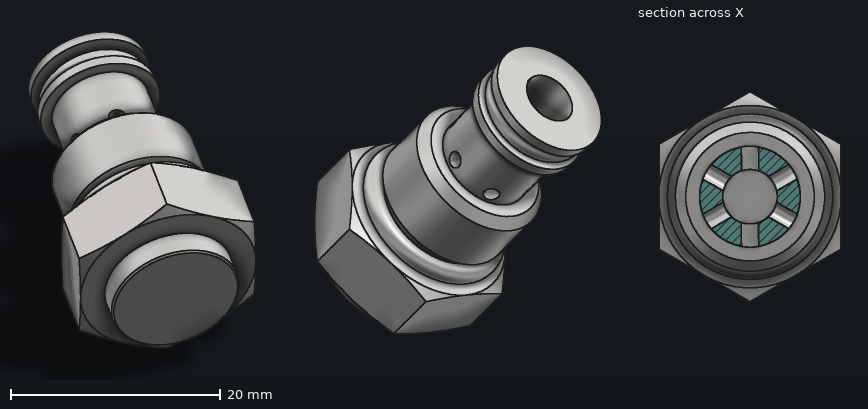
import cadquery as cq
import math

TOTAL_LENGTH = 30.43

SLEEVE_LENGTH = 11.32
SLEEVE_DIAMETER = 9.65
FLANGE_DIAMETER = 11.9
FLANGE_WIDTH = 1.03
NOSE_GROOVE_WIDTH = 2.28
NOSE_GROOVE_DIAMETER = 9.1
BORE_DIAMETER = 5.2
CROSS_HOLE_DIAMETER = 1.58
CROSS_HOLE_COUNT = 6
CROSS_HOLE_X = 10.15

BARREL_DIAMETER = 14.27
BARREL_END_X = 18.8
NECK_DIAMETER = 12.3
REAR_CHAMFER_LENGTH = 0.55
HEX_START_X = 21.18
HEX_LENGTH = 6.63
HEX_ACROSS_FLATS = 17.45
HEX_CHAMFER_ANGLE = 20.0

CAP_DIAMETER = 12.7
CAP_CHAMFER = 0.18
CAP_HUB_DIAMETER = 12.3
CAP_HUB_LENGTH = 0.1

NOSE_RING_DIAMETER = 11.17
NOSE_RING_SECTION = 1.8
HEX_RING_DIAMETER = 15.82
HEX_RING_SECTION = 1.98

NOSE_GROOVE_END_X = FLANGE_WIDTH + NOSE_GROOVE_WIDTH
HEX_END_X = HEX_START_X + HEX_LENGTH
HEX_ACROSS_CORNERS = HEX_ACROSS_FLATS / math.cos(math.radians(30))


def cylinder(start_x, end_x, diameter):
    """Solid cylinder along X."""
    return cq.Workplane("YZ", origin=(start_x, 0, 0)).circle(diameter / 2).extrude(end_x - start_x)


def revolve_profile(points):
    """Revolve an outline of (x, radius) points about the X axis."""
    return cq.Workplane("XY").polyline(points).close().revolve(360, (0, 0, 0), (1, 0, 0))


def make_o_ring(right_x, outer_diameter, section):
    """Round-section ring whose right side touches the plane X = right_x."""
    section_radius = section / 2
    centre_radius = outer_diameter / 2 - section_radius
    return (
        cq.Workplane("XY")
        .center(right_x - section_radius, centre_radius)
        .circle(section_radius)
        .revolve(360, (0, -centre_radius, 0), (1, -centre_radius, 0))
    )


def make_sleeve(nose_ring):
    """Flanged tube with radial holes, and a seat for the ring in the groove between the flanges."""
    sleeve = cylinder(0, SLEEVE_LENGTH, SLEEVE_DIAMETER)
    for flange_x in (0, NOSE_GROOVE_END_X):
        sleeve = sleeve.union(cylinder(flange_x, flange_x + FLANGE_WIDTH, FLANGE_DIAMETER))

    groove_stock = cylinder(FLANGE_WIDTH, NOSE_GROOVE_END_X, FLANGE_DIAMETER)
    groove_floor = cylinder(FLANGE_WIDTH, NOSE_GROOVE_END_X, NOSE_GROOVE_DIAMETER)
    sleeve = sleeve.cut(groove_stock.cut(groove_floor))

    sleeve = sleeve.cut(cylinder(0, SLEEVE_LENGTH, BORE_DIAMETER))
    cross_hole = (
        cq.Workplane("XY", origin=(CROSS_HOLE_X, 0, 0))
        .circle(CROSS_HOLE_DIAMETER / 2)
        .extrude(SLEEVE_DIAMETER)
    )
    for index in range(CROSS_HOLE_COUNT):
        angle = index * 360 / CROSS_HOLE_COUNT
        sleeve = sleeve.cut(cross_hole.rotate((0, 0, 0), (1, 0, 0), angle))
    return sleeve.cut(nose_ring)


def make_hex():
    """Hexagon with corners up and down, its corners coned off at both ends."""
    hexagon = (
        cq.Workplane("YZ", origin=(HEX_START_X, 0, 0))
        .polygon(6, HEX_ACROSS_CORNERS)
        .extrude(HEX_LENGTH)
        .rotate((0, 0, 0), (1, 0, 0), 90)
    )
    face_radius = HEX_ACROSS_FLATS / 2
    corner_radius = HEX_ACROSS_CORNERS / 2
    cone_length = (corner_radius - face_radius) * math.tan(math.radians(HEX_CHAMFER_ANGLE))
    envelope = revolve_profile([
        (HEX_START_X, 0),
        (HEX_START_X, face_radius),
        (HEX_START_X + cone_length, corner_radius),
        (HEX_END_X - cone_length, corner_radius),
        (HEX_END_X, face_radius),
        (HEX_END_X, 0),
    ])
    return hexagon.intersect(envelope)


def make_housing(hex_ring):
    """Chamfered barrel, neck and hexagon, with a seat for the ring on the neck."""
    neck_radius = NECK_DIAMETER / 2
    barrel_radius = BARREL_DIAMETER / 2
    front_chamfer = barrel_radius - neck_radius
    barrel_and_neck = revolve_profile([
        (SLEEVE_LENGTH, 0),
        (SLEEVE_LENGTH, neck_radius),
        (SLEEVE_LENGTH + front_chamfer, barrel_radius),
        (BARREL_END_X - REAR_CHAMFER_LENGTH, barrel_radius),
        (BARREL_END_X, neck_radius),
        (HEX_START_X, neck_radius),
        (HEX_START_X, 0),
    ])
    return barrel_and_neck.union(make_hex()).cut(hex_ring)


def make_cap():
    """Disc with a chamfered outer end, held just off the hexagon by a thin hub."""
    disc_start_x = HEX_END_X + CAP_HUB_LENGTH
    disc = cylinder(disc_start_x, TOTAL_LENGTH, CAP_DIAMETER).faces(">X").chamfer(CAP_CHAMFER)
    hub = cylinder(HEX_END_X, disc_start_x, CAP_HUB_DIAMETER)
    return disc.union(hub)


nose_ring = make_o_ring(NOSE_GROOVE_END_X, NOSE_RING_DIAMETER, NOSE_RING_SECTION)
hex_ring = make_o_ring(HEX_START_X, HEX_RING_DIAMETER, HEX_RING_SECTION)
sleeve = make_sleeve(nose_ring)
housing = make_housing(hex_ring)
cap = make_cap()

result = cq.Compound.makeCompound([
    sleeve.val(),
    housing.val(),
    cap.val(),
    nose_ring.val(),
    hex_ring.val(),
])